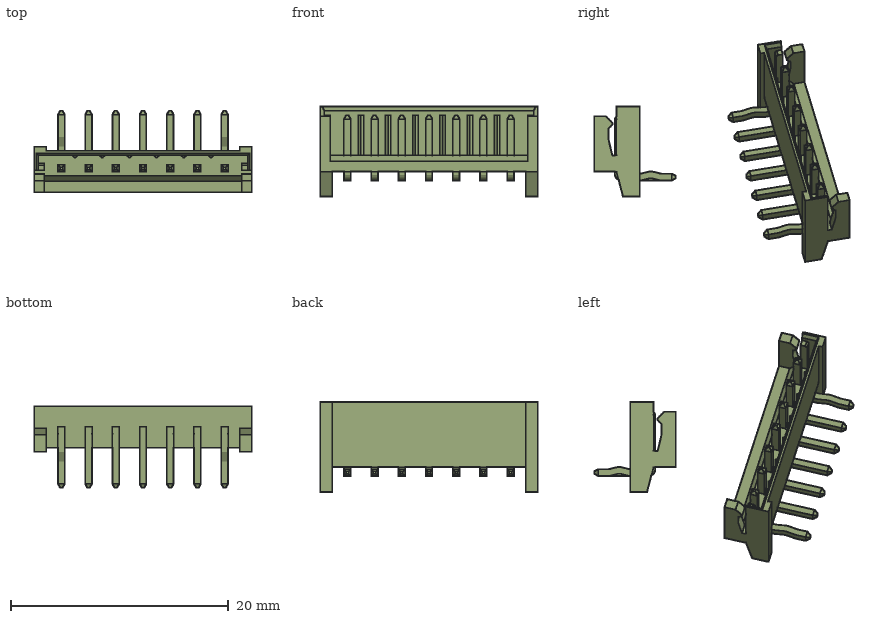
import cadquery as cq


PIN_COUNT = 7
PITCH = 2.5
PIN_WIDTH = 0.65
PIN_Y = 2.2
TAIL_Z = 1.8
PIN_TOP_Z = 7.48
TAIL_END_Y = 7.5
TIP_LENGTH = 0.35
TIP_WIDTH = 0.22

KINK_START_Y = 4.22
KINK_CREST_START_Y = 5.05
KINK_CREST_END_Y = 5.35
KINK_END_Y = 6.2
KINK_RISE = 0.2

LENGTH = 20.0
TOP_Z = 8.3
BASE_BOTTOM_Z = 2.3
FRONT_LEDGE_Z = 3.25
FLOOR_Z = 3.8
FLOOR_SLOPE_START_Y = 1.02
FLOOR_SLOPE_END_Y = 1.5
BACK_WALL_INNER_Y = 3.4
BACK_WALL_OUTER_Y = 3.85
SIDE_WALL_FRONT_Y = 2.05
SIDE_WALL = 0.38
LEAD_IN_WIDTH = 0.2
LEAD_IN_HEIGHT = 0.4

FOOT_WIDTH = 1.12
FOOT_BACK_Y = 4.2
FOOT_FRONT_Y = 2.65

ARM_WIDTH = 0.95
ARM_TOP_Z = 7.4
ARM_TOP_BACK_Y = 1.05
ARM_BACK_Y = 1.32
NOSE_Y = 1.75
NOSE_RADIUS = 0.15
ARM_WAIST_Z = 5.25
ARM_WAIST_RADIUS = 2.4
ARM_ROOT_Y = 1.68
GUIDE_TOP_Z = PIN_TOP_Z
GUIDE_BACK_Y = 2.68
GUIDE_CHAMFER = 0.18

KEY_TOP_Z = PIN_TOP_Z
KEY_WIDTH = 0.5
KEY_DEPTH = 0.25

HALF_LENGTH = LENGTH / 2
PIN_HALF = PIN_WIDTH / 2


def row(count):
    """X positions of a centred row at the pin pitch."""
    return [(i - (count - 1) / 2) * PITCH for i in range(count)]


def slab(points, x_start, width):
    """Extrude an outline of (Y, Z) points along +X."""
    return cq.Workplane("YZ", origin=(x_start, 0, 0)).polyline(points).close().extrude(width)


def both_ends(left_end):
    """A feature at the -X end together with its mirror image at the +X end."""
    return left_end.union(left_end.mirror("YZ"))


def base():
    outline = [
        (0, BASE_BOTTOM_Z),
        (BACK_WALL_OUTER_Y, BASE_BOTTOM_Z),
        (BACK_WALL_OUTER_Y, FLOOR_Z),
        (FLOOR_SLOPE_END_Y, FLOOR_Z),
        (FLOOR_SLOPE_START_Y, FRONT_LEDGE_Z),
        (0, FRONT_LEDGE_Z),
    ]
    return slab(outline, -HALF_LENGTH, LENGTH)


def walls():
    """Back wall and side walls, with a bevelled lead-in around the inside of the rim."""
    depth = BACK_WALL_OUTER_Y - SIDE_WALL_FRONT_Y
    block = cq.Workplane("XY").box(LENGTH, depth, TOP_Z - FLOOR_Z, centered=(True, False, False))
    block = block.translate((0, SIDE_WALL_FRONT_Y, FLOOR_Z))

    half_width = HALF_LENGTH - SIDE_WALL
    half_depth = BACK_WALL_INNER_Y - SIDE_WALL_FRONT_Y
    lead_in_z = TOP_Z - LEAD_IN_HEIGHT
    opening = (
        cq.Workplane("XY", origin=(0, SIDE_WALL_FRONT_Y, FLOOR_Z))
        .rect(2 * half_width, 2 * half_depth)
        .extrude(TOP_Z - FLOOR_Z)
    )
    lead_in = (
        cq.Workplane("XY", origin=(0, SIDE_WALL_FRONT_Y, lead_in_z))
        .rect(2 * half_width, 2 * half_depth)
        .workplane(offset=LEAD_IN_HEIGHT)
        .rect(2 * (half_width + LEAD_IN_WIDTH), 2 * (half_depth + LEAD_IN_WIDTH))
        .loft(ruled=True)
    )
    return block.cut(opening).cut(lead_in)


def feet():
    """Feet below the base."""
    outline = [
        (FOOT_BACK_Y, 0),
        (FOOT_BACK_Y, BASE_BOTTOM_Z),
        (SIDE_WALL_FRONT_Y, BASE_BOTTOM_Z),
        (FOOT_FRONT_Y, 0),
    ]
    return both_ends(slab(outline, -HALF_LENGTH, FOOT_WIDTH))


def back_posts():
    """Posts standing proud of the back wall, in line with the feet."""
    outline = [
        (BACK_WALL_OUTER_Y, BASE_BOTTOM_Z),
        (FOOT_BACK_Y, BASE_BOTTOM_Z),
        (FOOT_BACK_Y, TOP_Z),
        (BACK_WALL_OUTER_Y, TOP_Z),
    ]
    return both_ends(slab(outline, -HALF_LENGTH, FOOT_WIDTH))


def latch_arms():
    """Upright arms at the front corners, each with a 45 degree nose pointing back at the side wall."""
    nose_z = ARM_TOP_Z - (NOSE_Y - ARM_TOP_BACK_Y)
    nose_bottom_z = nose_z - (NOSE_Y - ARM_BACK_Y)
    arm_mid_x = -HALF_LENGTH + ARM_WIDTH / 2
    nose = cq.selectors.NearestToPointSelector((arm_mid_x, NOSE_Y, nose_z))
    waist = cq.selectors.NearestToPointSelector((arm_mid_x, ARM_BACK_Y, ARM_WAIST_Z))
    outline = [
        (0, BASE_BOTTOM_Z),
        (0, ARM_TOP_Z),
        (ARM_TOP_BACK_Y, ARM_TOP_Z),
        (NOSE_Y, nose_z),
        (ARM_BACK_Y, nose_bottom_z),
        (ARM_BACK_Y, ARM_WAIST_Z),
        (ARM_ROOT_Y, FLOOR_Z),
        (ARM_ROOT_Y, BASE_BOTTOM_Z),
    ]
    arm = slab(outline, -HALF_LENGTH, ARM_WIDTH)
    arm = arm.edges("|X").edges(nose).fillet(NOSE_RADIUS)
    arm = arm.edges("|X").edges(waist).fillet(ARM_WAIST_RADIUS)
    return both_ends(arm)


def guide_ribs():
    """Thickening inside each side wall, bevelled at the top of its back edge."""
    outline = [
        (SIDE_WALL_FRONT_Y, FLOOR_Z),
        (GUIDE_BACK_Y, FLOOR_Z),
        (GUIDE_BACK_Y, GUIDE_TOP_Z - GUIDE_CHAMFER),
        (GUIDE_BACK_Y - GUIDE_CHAMFER, GUIDE_TOP_Z),
        (SIDE_WALL_FRONT_Y, GUIDE_TOP_Z),
    ]
    return both_ends(slab(outline, -HALF_LENGTH, ARM_WIDTH))


def wall_key(x):
    """Triangular rib on the inside of the back wall."""
    return (
        cq.Workplane("XY", origin=(x, BACK_WALL_INNER_Y, FLOOR_Z))
        .polyline([(-KEY_WIDTH / 2, 0), (0, -KEY_DEPTH), (KEY_WIDTH / 2, 0)])
        .close()
        .extrude(KEY_TOP_Z - FLOOR_Z)
    )


def pin_hole(x):
    """Square hole through the base that a pin fills exactly."""
    return (
        cq.Workplane("XY", origin=(x, PIN_Y, BASE_BOTTOM_Z))
        .rect(PIN_WIDTH, PIN_WIDTH)
        .extrude(FLOOR_Z - BASE_BOTTOM_Z)
    )


def make_housing():
    housing = base()
    for feature in (walls(), feet(), back_posts(), latch_arms(), guide_ribs()):
        housing = housing.union(feature)
    for x in row(PIN_COUNT - 1):
        housing = housing.union(wall_key(x))
    for x in row(PIN_COUNT):
        housing = housing.cut(pin_hole(x))
    return housing


def pin_tip(plane):
    """Tapered square tip that grows along the normal of the plane."""
    return (
        cq.Workplane(plane)
        .rect(PIN_WIDTH, PIN_WIDTH)
        .workplane(offset=TIP_LENGTH)
        .rect(TIP_WIDTH, TIP_WIDTH)
        .loft(ruled=True)
    )


def make_pin(x, kinked):
    """Right-angle pin: an upright leg, a bend rounded on the outside, and a tail toward +Y."""
    leg_front = PIN_Y - PIN_HALF
    leg_back = PIN_Y + PIN_HALF
    tail_bottom = TAIL_Z - PIN_HALF
    tail_top = TAIL_Z + PIN_HALF
    leg_end = PIN_TOP_Z - TIP_LENGTH
    tail_end = TAIL_END_Y - TIP_LENGTH

    kink = []
    if kinked:
        kink = [
            (KINK_START_Y, 0),
            (KINK_CREST_START_Y, KINK_RISE),
            (KINK_CREST_END_Y, KINK_RISE),
            (KINK_END_Y, 0),
        ]

    profile = (
        cq.Workplane("YZ", origin=(x - PIN_HALF, 0, 0))
        .moveTo(leg_back, tail_bottom)
        .radiusArc((leg_front, tail_top), PIN_WIDTH)
        .lineTo(leg_front, leg_end)
        .lineTo(leg_back, leg_end)
        .lineTo(leg_back, tail_top)
    )
    for y, rise in kink:
        profile = profile.lineTo(y, tail_top + rise)
    profile = profile.lineTo(tail_end, tail_top).lineTo(tail_end, tail_bottom)
    for y, rise in reversed(kink):
        profile = profile.lineTo(y, tail_bottom + rise)
    body = profile.close().extrude(PIN_WIDTH)

    leg_tip = pin_tip(cq.Plane((x, PIN_Y, leg_end), xDir=(1, 0, 0), normal=(0, 0, 1)))
    tail_tip = pin_tip(cq.Plane((x, tail_end, TAIL_Z), xDir=(1, 0, 0), normal=(0, 1, 0)))
    return body.union(leg_tip).union(tail_tip)


housing = make_housing()

pins = []
for index, pin_x in enumerate(row(PIN_COUNT)):
    is_outermost = index in (0, PIN_COUNT - 1)
    pins.append(make_pin(pin_x, is_outermost).solids().val())

result = cq.Compound.makeCompound([housing.solids().val(), *pins])